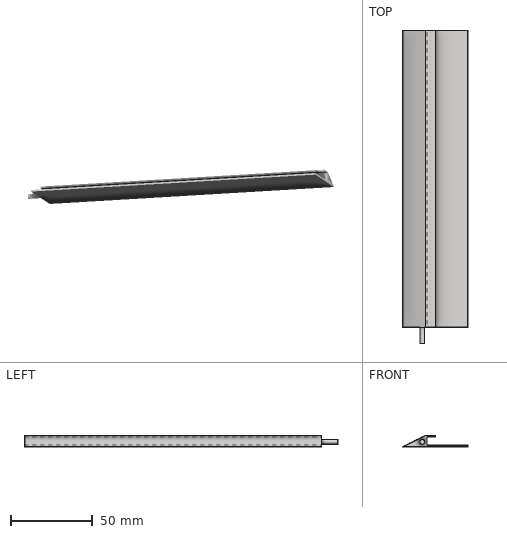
import cadquery as cq

width = 40.0
height = 7.0
strip_length = 182.0

sheet_thickness = 1.0
slope_top_x = 14.0
wall_x = 15.0
lip_end_x = 20.0

pin_diameter = 3.0
pin_length = 10.0
pin_x = 12.0
pin_z = 3.0


def make_strip():
    """Extrude the cross-section along +Y from the end face at Y = 0."""
    lip_underside_z = height - sheet_thickness
    outline = [
        (0, 0),
        (width, 0),
        (width, sheet_thickness),
        (wall_x, sheet_thickness),
        (wall_x, lip_underside_z),
        (lip_end_x, lip_underside_z),
        (lip_end_x, height),
        (slope_top_x, height),
    ]
    return cq.Workplane("XZ").polyline(outline).close().extrude(-strip_length)


def make_pin():
    """Pin running along -Y from the end face at Y = 0."""
    return cq.Workplane("XZ").center(pin_x, pin_z).circle(pin_diameter / 2).extrude(pin_length)


result = make_strip().union(make_pin())